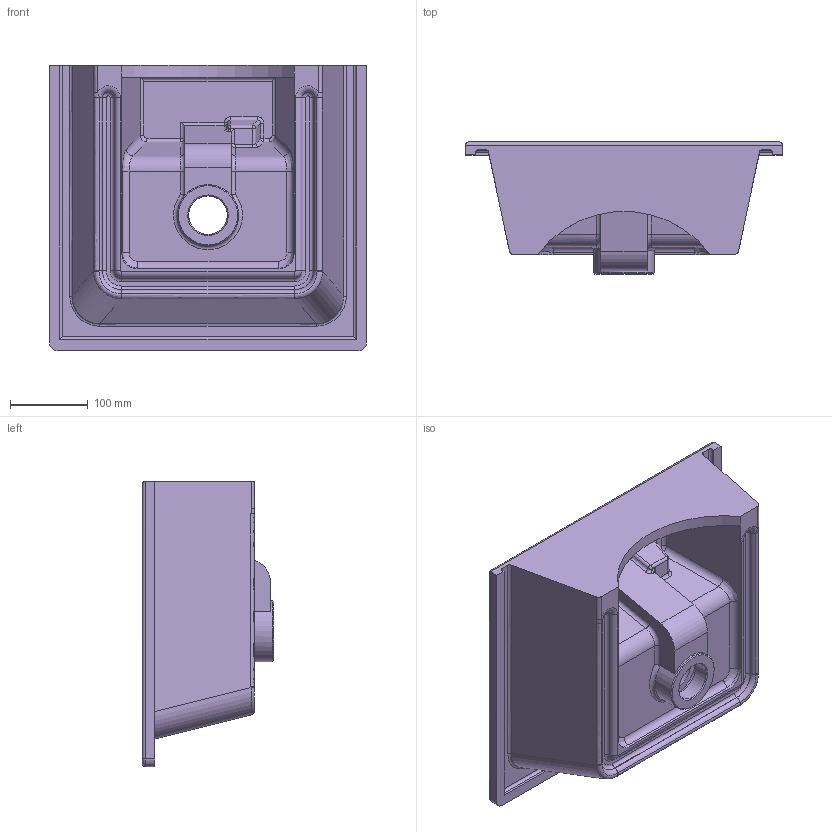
import cadquery as cq
import math

WIDTH = 406.57
HEIGHT = 365.78
DEPTH = 169.0
DRAFT = 12.0
OVERRUN = 10.0
SEAM_SAMPLES = (0.3, 0.7)
SEAM_TOLERANCE = 1e-3

FLANGE_THICKNESS = 16.2
FLANGE_CORNER_RADIUS = 10.0
FLANGE_BACK_RADIUS = 4.0
RECESS_DEPTH = 6.2
RECESS_MARGIN = 14.5
RECESS_SIDE_MARGIN = 13.0
RECESS_RADIUS = 3.5
RECESS_FLOOR_Y = RECESS_DEPTH - FLANGE_THICKNESS

FRONT_Y = -144.0
FRONT_HALF_WIDTH = 145.9
FRONT_BOTTOM_Z = 67.5
BODY_CORNER_RADIUS = 35.0
BOTTOM_DRAFT = 14.0
BODY_FOOT_RADIUS = 3.5

GROOVE_HALF_SPACING = 128.0
GROOVE_BOTTOM_Z = 85.5
GROOVE_TOP_Z = 324.0
GROOVE_HALF_WIDTH = 9.0
GROOVE_DEPTH = 10.6
GROOVE_FLOOR_RADIUS = 5.0
GROOVE_LIP_RADIUS = 8.0

POCKET_HALF_WIDTH = 110.5
POCKET_BOTTOM_Z = 105.2
POCKET_TOP_Z = 350.4
POCKET_CORNER_RADIUS = 20.0
LOW_PANEL_Y = -134.0
DEEP_PANEL_Y = -30.0
STEP_RADIUS = 20.0
STEP_ARC_BOTTOM_Z = 230.0
LOW_PANEL_RADIUS = 9.0
DEEP_PANEL_RADIUS = 5.0
ARCH_CROWN_Y = -89.0

BOSS_Z = 173.6
BOSS_RADIUS = 39.2
BORE_RADIUS = 24.7
BORE_CHAMFER = 1.3
CHAMBER_RADIUS = 33.0
CHAMBER_FRONT_Y = -148.5
CHAMBER_LENGTH = 9.0

DUCT_HALF_WIDTH = 29.9
DUCT_FRONT_Y = -165.0
DUCT_ARC_RADIUS = 31.5
DUCT_ARC_BOTTOM_Z = 234.9
DUCT_EDGE_RADIUS = 5.0
DUCT_BASE_RADIUS = 5.0

BLOCK_FRONT_Y = -66.0
BLOCK_LEFT_X = 25.0
BLOCK_RIGHT_X = 60.5
BLOCK_TOP_Z = 288.5
BLOCK_EDGE_RADIUS = 4.0
BLOCK_BASE_RADIUS = 4.5


def slope(angle):
    return math.tan(math.radians(angle))


def join_with_fillet(base, added, radius):
    """Unite two solids and round the line where their surfaces meet."""
    joined = base.union(added)
    shells = [base.val().Shells()[0], added.val().Shells()[0]]

    def is_seam(edge):
        points = [cq.Vertex.makeVertex(*edge.positionAt(t).toTuple()) for t in SEAM_SAMPLES]
        return all(shell.distance(point) < SEAM_TOLERANCE for shell in shells for point in points)

    return joined.newObject([edge for edge in joined.edges().vals() if is_seam(edge)]).fillet(radius)


def front_plane(y):
    """Sketch plane facing -Y: local x is X, local y is Z, extrusion goes toward the front."""
    return cq.Workplane("XZ", origin=(0, y, 0))


def stepped_profile(front_y, arc_radius, arc_bottom_z, bottom_z, back_y):
    """YZ outline: front wall, convex arc, drafted step running back, with the lower side closed."""
    turn = math.radians(90 - DRAFT)
    mid_y = front_y + arc_radius * (1 - math.cos(turn / 2))
    mid_z = arc_bottom_z + arc_radius * math.sin(turn / 2)
    end_y = front_y + arc_radius * (1 - math.cos(turn))
    end_z = arc_bottom_z + arc_radius * math.sin(turn)
    back_z = end_z + (back_y - end_y) * slope(DRAFT)
    return (
        cq.Workplane("YZ")
        .moveTo(front_y, bottom_z)
        .lineTo(front_y, arc_bottom_z)
        .threePointArc((mid_y, mid_z), (end_y, end_z))
        .lineTo(back_y, back_z)
        .lineTo(back_y, bottom_z)
        .close()
    )


def make_flange():
    """Flange plate with rounded lower corners, rounded back edges and a recess open at the top."""
    flange = front_plane(0).rect(WIDTH, 2 * HEIGHT).extrude(FLANGE_THICKNESS)
    flange = flange.intersect(
        cq.Workplane("XY").box(WIDTH, 2 * DEPTH, HEIGHT, centered=(True, True, False))
        .edges("|Y and <Z").fillet(FLANGE_CORNER_RADIUS)
    )
    flange = flange.faces(">Y").edges().fillet(FLANGE_BACK_RADIUS)
    recess_half_width = WIDTH / 2 - RECESS_SIDE_MARGIN
    recess = (
        front_plane(RECESS_FLOOR_Y)
        .moveTo(0, (HEIGHT + OVERRUN + RECESS_MARGIN) / 2)
        .rect(2 * recess_half_width, HEIGHT + OVERRUN - RECESS_MARGIN)
        .extrude(RECESS_DEPTH + OVERRUN)
        .faces(">Y").edges().fillet(RECESS_RADIUS)
    )
    return flange.cut(recess)


def body_section(y):
    """Rounded U outline of the body at depth y."""
    distance = y - FRONT_Y
    half_width = FRONT_HALF_WIDTH + distance * slope(DRAFT)
    bottom = FRONT_BOTTOM_Z - distance * slope(BOTTOM_DRAFT)
    r = BODY_CORNER_RADIUS
    diagonal = r * (1 - math.sqrt(0.5))
    return (
        front_plane(y)
        .moveTo(-half_width, HEIGHT)
        .lineTo(-half_width, bottom + r)
        .threePointArc((-half_width + diagonal, bottom + diagonal), (-half_width + r, bottom))
        .lineTo(half_width - r, bottom)
        .threePointArc((half_width - diagonal, bottom + diagonal), (half_width, bottom + r))
        .lineTo(half_width, HEIGHT)
        .close()
        .wires().val()
    )


def make_body():
    sections = [body_section(RECESS_FLOOR_Y), body_section(FRONT_Y)]
    return cq.Workplane(cq.Solid.makeLoft(sections, True))


def make_groove():
    """Cutter for the groove: a drafted U-shaped slot with round ends and a rounded floor."""
    outer = GROOVE_HALF_SPACING + GROOVE_HALF_WIDTH
    inner = GROOVE_HALF_SPACING - GROOVE_HALF_WIDTH
    low = GROOVE_BOTTOM_Z - GROOVE_HALF_WIDTH
    high = GROOVE_BOTTOM_Z + GROOVE_HALF_WIDTH
    outer_radius = GROOVE_HALF_SPACING - POCKET_HALF_WIDTH + GROOVE_HALF_WIDTH
    inner_radius = outer_radius - 2 * GROOVE_HALF_WIDTH
    end_z = GROOVE_TOP_Z + GROOVE_HALF_WIDTH
    sketch = (
        cq.Sketch()
        .segment((-outer, GROOVE_TOP_Z), (-outer, low + outer_radius))
        .arc((outer_radius - outer, low + outer_radius), outer_radius, 180, 90)
        .segment((outer_radius - outer, low), (outer - outer_radius, low))
        .arc((outer - outer_radius, low + outer_radius), outer_radius, 270, 90)
        .segment((outer, low + outer_radius), (outer, GROOVE_TOP_Z))
        .arc((outer, GROOVE_TOP_Z), (GROOVE_HALF_SPACING, end_z), (inner, GROOVE_TOP_Z))
        .segment((inner, GROOVE_TOP_Z), (inner, high + inner_radius))
        .arc((inner - inner_radius, high + inner_radius), inner_radius, 0, -90)
        .segment((inner - inner_radius, high), (inner_radius - inner, high))
        .arc((inner_radius - inner, high + inner_radius), inner_radius, 270, -90)
        .segment((-inner, high + inner_radius), (-inner, GROOVE_TOP_Z))
        .arc((-inner, GROOVE_TOP_Z), (-GROOVE_HALF_SPACING, end_z), (-outer, GROOVE_TOP_Z))
        .assemble()
    )
    slot = front_plane(FRONT_Y).placeSketch(sketch).extrude(-GROOVE_DEPTH, taper=DRAFT)
    return slot.faces(">Y").edges().fillet(GROOVE_FLOOR_RADIUS)


def make_pocket():
    """Cutter for the pocket, drafted on its sides and bottom and stepped in depth."""
    tall = 2 * HEIGHT
    frustum = (
        front_plane(FRONT_Y)
        .moveTo(0, POCKET_BOTTOM_Z + tall / 2)
        .rect(2 * POCKET_HALF_WIDTH, tall)
        .extrude(FRONT_Y - DEEP_PANEL_Y, taper=DRAFT)
    )
    lower_half = cq.selectors.BoxSelector((-WIDTH, -DEPTH, 0), (WIDTH, 0, HEIGHT))
    frustum = frustum.edges("not (|X or |Z)").edges(lower_half).fillet(POCKET_CORNER_RADIUS)
    behind_low_panel = stepped_profile(
        LOW_PANEL_Y, STEP_RADIUS, STEP_ARC_BOTTOM_Z, 0, 0
    ).extrude(WIDTH / 2, both=True)
    above_pocket = (
        cq.Workplane("XY", origin=(0, 0, POCKET_TOP_Z))
        .box(WIDTH, 2 * DEPTH, 2 * HEIGHT, centered=(True, True, False))
    )
    pocket = frustum.cut(behind_low_panel).cut(above_pocket)
    floor_rim = cq.selectors.BoxSelector(
        (-WIDTH, LOW_PANEL_Y - 1, 0), (WIDTH, DEEP_PANEL_Y - 1, POCKET_TOP_Z - 1)
    )
    pocket = pocket.edges("not |X").edges(floor_rim).fillet(LOW_PANEL_RADIUS)
    return pocket.faces(">Y").edges().fillet(DEEP_PANEL_RADIUS)


def make_arch():
    """Arched opening through the top plate."""
    half = POCKET_HALF_WIDTH
    return (
        cq.Workplane("XY", origin=(0, 0, POCKET_TOP_Z))
        .moveTo(-half, FRONT_Y)
        .threePointArc((0, ARCH_CROWN_Y), (half, FRONT_Y))
        .close()
        .extrude(HEIGHT - POCKET_TOP_Z)
    )


def make_duct():
    """Sharp-edged duct running from the deep panel down into the boss."""
    return stepped_profile(
        DUCT_FRONT_Y, DUCT_ARC_RADIUS, DUCT_ARC_BOTTOM_Z, BOSS_Z, DEEP_PANEL_Y
    ).extrude(DUCT_HALF_WIDTH, both=True)


def make_boss():
    return front_plane(LOW_PANEL_Y).center(0, BOSS_Z).circle(BOSS_RADIUS).extrude(DEPTH + LOW_PANEL_Y)


def make_block():
    """Block drafted on its top and right side; its left side is sunk into the duct."""
    length = DEEP_PANEL_Y - BLOCK_FRONT_Y
    base_right = BLOCK_RIGHT_X + length * slope(DRAFT)
    base_top = BLOCK_TOP_Z + length * slope(DRAFT)
    block = (
        front_plane(DEEP_PANEL_Y)
        .moveTo(0, base_top / 2)
        .rect(2 * base_right, base_top)
        .extrude(length, taper=DRAFT)
    )
    kept_part = (
        cq.Workplane("XY", origin=(BLOCK_LEFT_X, 0, STEP_ARC_BOTTOM_Z))
        .box(WIDTH, 2 * DEPTH, HEIGHT, centered=(False, True, False))
    )
    outer_edges = cq.selectors.BoxSelector(
        (BLOCK_LEFT_X - 1, -DEPTH, STEP_ARC_BOTTOM_Z + 1), (WIDTH, DEEP_PANEL_Y - 1, HEIGHT)
    )
    return block.intersect(kept_part).edges(outer_edges).fillet(BLOCK_EDGE_RADIUS)


def make_bore():
    """Through bore with a wider chamber inside."""
    bore = front_plane(0).center(0, BOSS_Z).circle(BORE_RADIUS).extrude(DEPTH)
    chamber = (
        front_plane(CHAMBER_FRONT_Y + CHAMBER_LENGTH)
        .center(0, BOSS_Z).circle(CHAMBER_RADIUS).extrude(CHAMBER_LENGTH)
    )
    return bore.union(chamber)


def cut_groove(part):
    """Cut the groove and round its lips."""
    part = part.cut(make_groove())
    reach = GROOVE_HALF_SPACING + GROOVE_HALF_WIDTH + 1
    lips = cq.selectors.BoxSelector(
        (-reach, FRONT_Y - 1, GROOVE_BOTTOM_Z - GROOVE_HALF_WIDTH - 1),
        (reach, FRONT_Y + 1, GROOVE_TOP_Z + GROOVE_HALF_WIDTH + 1),
        boundingbox=True,
    )
    return part.faces("<Y").edges(lips).fillet(GROOVE_LIP_RADIUS)


def add_boss_and_duct(part):
    """Add the boss and duct with a rounded base, then round the front edges of the duct."""
    part = join_with_fillet(part, make_boss().union(make_duct()), DUCT_BASE_RADIUS)
    duct_front = cq.selectors.BoxSelector(
        (-1, DUCT_FRONT_Y - 1, BOSS_Z + DUCT_HALF_WIDTH), (1, BLOCK_FRONT_Y, HEIGHT)
    )
    side_edges = part.faces(duct_front).edges("not |X").edges(">X or <X")
    return side_edges.fillet(DUCT_EDGE_RADIUS)


def cut_bore(part):
    """Cut the bore and chamfer the edges of the boss face."""
    part = part.cut(make_bore())
    return part.faces("<Y").edges().chamfer(BORE_CHAMFER)


shell = join_with_fillet(make_flange(), make_body(), BODY_FOOT_RADIUS)
shell = cut_groove(shell).cut(make_pocket()).cut(make_arch())
shell = add_boss_and_duct(shell)
shell = join_with_fillet(shell, make_block(), BLOCK_BASE_RADIUS)
result = cut_bore(shell)